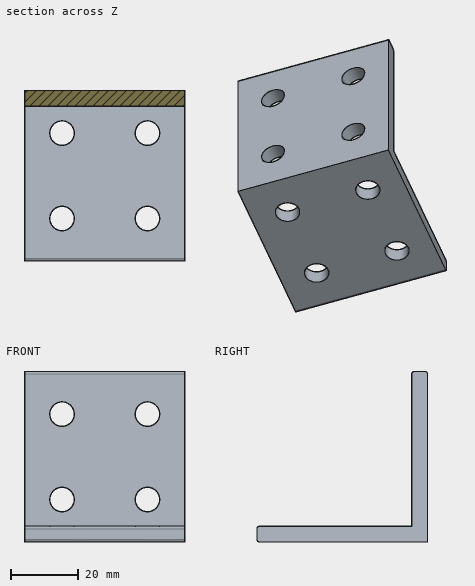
import cadquery as cq

width = 47.6
leg_length = 50.8
thickness = 4.8
edge_radius = 0.8
hole_diameter = 7.2
hole_spacing = 25.4


def angle_profile():
    """L section: one leg along -Y at the bottom, one leg along +Z at the back."""
    front = -leg_length / 2
    back = leg_length / 2
    return (
        cq.Workplane("YZ")
        .moveTo(front, 0)
        .lineTo(back, 0)
        .lineTo(back, leg_length)
        .lineTo(back - thickness, leg_length)
        .lineTo(back - thickness, thickness)
        .lineTo(front, thickness)
        .close()
    )


def hole_pattern(plane, center):
    """Square pattern of four cutters, long enough to pass through one leg both ways."""
    return (
        cq.Workplane(plane, origin=center)
        .rarray(hole_spacing, hole_spacing, 2, 2)
        .circle(hole_diameter / 2)
        .extrude(thickness, both=True)
    )


bracket = angle_profile().extrude(width / 2, both=True)

bracket = bracket.faces("<Y").edges("|X").fillet(edge_radius)
bracket = bracket.faces(">Z").edges("|X").fillet(edge_radius)

floor_holes = hole_pattern("XY", (0, 0, thickness / 2))
wall_holes = hole_pattern("XZ", (0, (leg_length - thickness) / 2, leg_length / 2))

result = bracket.cut(floor_holes).cut(wall_holes)